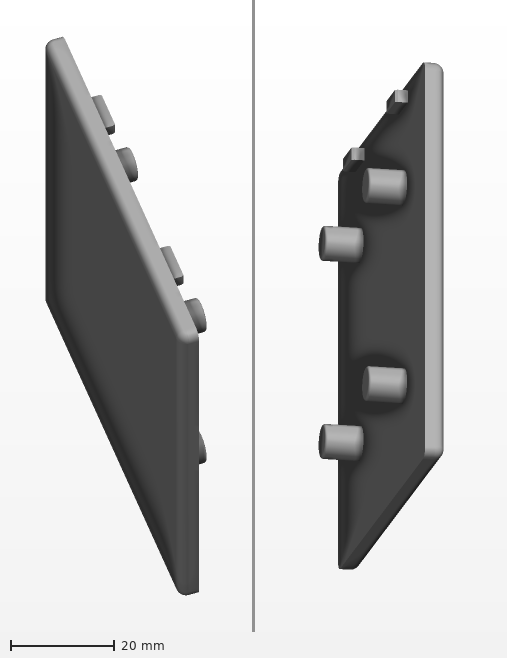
import cadquery as cq

plate_side = 80.0
plate_thickness = 4.0
edge_radius = 2.0
total_depth = 11.5

peg_diameter = 6.8
peg_spacing = 40.0
peg_length = total_depth - plate_thickness
peg_tip_radius = 0.5

tab_width = 8.2
tab_height = 2.5
tab_length = 2.5
tab_top_margin = 1.5
tab_bevel_width = 0.2
tab_bevel_length = 0.5

columns = (-peg_spacing / 2, peg_spacing / 2)
rows = (-peg_spacing / 2, peg_spacing / 2)
tab_bottom_z = plate_side / 2 - tab_top_margin - tab_height


def make_plate():
    """Plate with rounded corners and a rounded front rim; its back face is at Y = plate_thickness."""
    plate = cq.Workplane("XY").box(
        plate_side, plate_thickness, plate_side, centered=(True, False, True)
    )
    plate = plate.edges("|Y").fillet(edge_radius)
    return plate.faces("<Y").edges().fillet(edge_radius)


def make_peg(x, z):
    """Peg standing on the back face at (x, z), with a rounded tip edge."""
    base = cq.Workplane("XZ", origin=(x, plate_thickness, z))
    peg = base.circle(peg_diameter / 2).extrude(-peg_length)
    return peg.faces(">Y").edges().fillet(peg_tip_radius)


def make_tab(x):
    """Tab standing on the back face, centred on x, with its two side faces bevelled at the tip."""
    half_width = tab_width / 2
    half_tip = half_width - tab_bevel_width
    shoulder = tab_length - tab_bevel_length
    outline = [
        (-half_width, 0),
        (half_width, 0),
        (half_width, shoulder),
        (half_tip, tab_length),
        (-half_tip, tab_length),
        (-half_width, shoulder),
    ]
    base = cq.Workplane("XY", origin=(x, plate_thickness, tab_bottom_z))
    return base.polyline(outline).close().extrude(tab_height)


result = make_plate()
for column in columns:
    result = result.union(make_tab(column))
    for row in rows:
        result = result.union(make_peg(column, row))